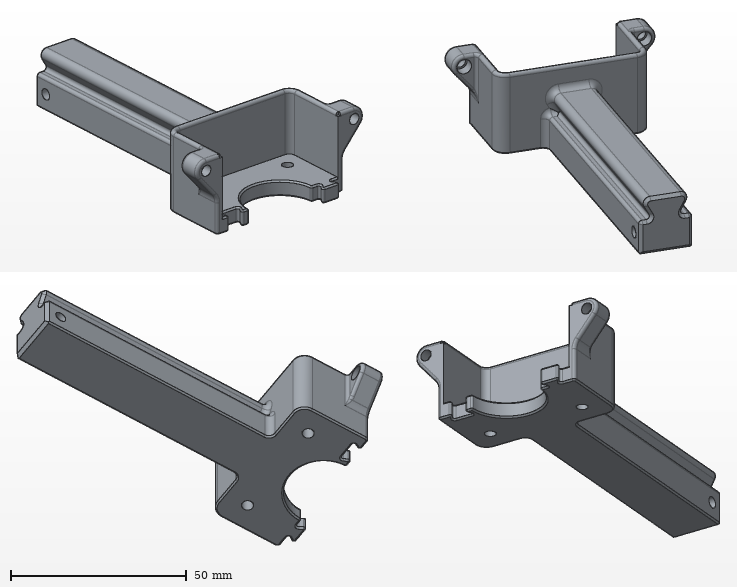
import cadquery as cq
import math

length = 103.0
overall_width = 61.5
height = 25.0
edge_break = 0.5
edge_round = 1.0

rail_half_width = 8.0
shoulder_height = 10.5
rail_height = 17.6
neck_half_width = 4.0
head_radius = 2 * edge_round
shoulder_radius = 1.0
flare_radius = 2 * edge_round
rail_hole_x = 4.8
rail_hole_height = 5.3

bracket_back = 76.6
bracket_front = 100.0
bracket_half_width = 23.3
floor_thickness = 4.9
wall_thickness = 2 * edge_round
corner_radius = 4 * edge_round
cradle_radius = 11.4
floor_hole_x = 84.4
floor_hole_y = 15.6
hole_diameter = 3.4

joint_depth = length - bracket_front
joint_y = 16.4
joint_corner = 0.6
tongue_root = 3.1
tongue_tip = 7.1
socket_mouth = 4.1
socket_base = 7.2

lug_back = 92.8
lug_radius = 3.5
lug_hole_y = overall_width / 2 - lug_radius
lug_hole_height = height - lug_radius
lug_foot_height = 11.5
lug_foot_radius = 4.1
counterbore_diameter = 4.4

pick = 0.01
pick_wide = 0.1


def box(x0, x1, y0, y1, z0, z1):
    return cq.Workplane("XY").box(x1 - x0, y1 - y0, z1 - z0, centered=False).translate((x0, y0, z0))


def mirrored(points):
    """Close a right-hand half outline by mirroring it about the middle of the part."""
    return points + [(-y, z) for y, z in reversed(points)]


def prism_along_x(points, x0, x1):
    return cq.Workplane("YZ", origin=(x0, 0, 0)).polyline(points).close().extrude(x1 - x0)


def round_long_edges(solid, y, z, radius):
    """Round the pair of X-parallel edges at (+-y, z)."""
    x_middle = solid.val().BoundingBox().center.x
    for side in (1, -1):
        solid = solid.edges(cq.selectors.NearestToPointSelector((x_middle, side * y, z))).fillet(radius)
    return solid


def rail_body():
    outline = mirrored([
        (rail_half_width, 0),
        (rail_half_width, shoulder_height),
        (neck_half_width, shoulder_height),
        (rail_half_width, rail_height),
    ])
    rail = prism_along_x(outline, 0, bracket_back + edge_break)
    rail = round_long_edges(rail, rail_half_width, rail_height, head_radius)
    rail = round_long_edges(rail, neck_half_width, shoulder_height, edge_round)
    rail = round_long_edges(rail, rail_half_width, shoulder_height, shoulder_radius)
    rail = rail.faces("<X").edges().chamfer(edge_round)
    return rail.faces("<Z").edges("|X").chamfer(edge_break)


def flare(profile, z0):
    """Blend a rail profile into a backing slab set into the bracket wall."""
    slab_half_width = rail_half_width + 2 * flare_radius
    slab = box(bracket_back, bracket_back + wall_thickness / 2, -slab_half_width, slab_half_width,
               z0, rail_height + 2 * flare_radius)
    joined = slab.union(profile)
    root = cq.selectors.BoxSelector(
        (bracket_back - pick, pick_wide - slab_half_width, z0 + pick),
        (bracket_back + pick, slab_half_width - pick_wide, rail_height + flare_radius))
    return joined.edges(root).fillet(flare_radius)


def rail_flares():
    flare_start = bracket_back - flare_radius - edge_break
    base = prism_along_x(
        mirrored([(rail_half_width, 0), (rail_half_width, shoulder_height)]), flare_start, bracket_back)
    base = round_long_edges(base, rail_half_width, shoulder_height, shoulder_radius)
    base = flare(base, 0)
    base = base.faces("<Z").edges("not (<X or >X)").chamfer(edge_break)

    head_bottom = shoulder_height / 2
    slope = (rail_half_width - neck_half_width) / (rail_height - shoulder_height)
    head_bottom_half_width = rail_half_width - slope * (rail_height - head_bottom)
    head = prism_along_x(
        mirrored([(head_bottom_half_width, head_bottom), (rail_half_width, rail_height)]),
        flare_start, bracket_back)
    head = round_long_edges(head, rail_half_width, rail_height, head_radius)
    return base.union(flare(head, edge_break))


def dovetail(y, x0, width0, x1, width1):
    outline = [(x0, y - width0 / 2), (x1, y - width1 / 2), (x1, y + width1 / 2), (x0, y + width0 / 2)]
    return cq.Workplane("XY").polyline(outline).close().extrude(floor_thickness)


def floor_plate():
    plate = box(bracket_back, bracket_front, -bracket_half_width, bracket_half_width, 0, floor_thickness)
    plate = plate.edges("|Z and <X").fillet(corner_radius)
    plate = plate.edges("|Z and >X").fillet(edge_round)
    cradle = cq.Workplane("XY").center(bracket_front, 0).circle(cradle_radius).extrude(floor_thickness)
    tongue = dovetail(joint_y, bracket_front, tongue_root, length, tongue_tip)
    socket = dovetail(-joint_y, bracket_front, socket_mouth, bracket_front - joint_depth, socket_base)
    plate = plate.cut(cradle).union(tongue).cut(socket)
    joint_edges = cq.selectors.BoxSelector(
        (bracket_front - joint_depth - pick_wide, -joint_y - socket_base / 2 - pick_wide, 0),
        (length + pick_wide, joint_y + tongue_tip / 2 + pick_wide, height))
    plate = plate.edges("|Z").edges(joint_edges).fillet(joint_corner)
    return plate.faces("<Z or >Z").chamfer(edge_break)


def walls():
    """U-shaped wall with a fully rounded rim."""
    rim_radius = wall_thickness / 2
    rim_height = height - rim_radius
    outer = box(bracket_back, bracket_front, -bracket_half_width, bracket_half_width, edge_break, rim_height)
    outer = outer.edges("|Z and <X").fillet(corner_radius)
    outer = outer.edges("|Z and >X").fillet(edge_round)
    inner_half_width = bracket_half_width - wall_thickness
    inner = box(bracket_back + wall_thickness, bracket_front, -inner_half_width, inner_half_width, 0, height)
    inner = inner.edges("|Z and <X").fillet(corner_radius - wall_thickness)

    rim_front = bracket_front - edge_round
    rim_back = bracket_back + rim_radius
    rim_y = bracket_half_width - rim_radius
    bend = corner_radius - rim_radius
    bend_offset = bend * (1 - math.sqrt(0.5))
    path = (
        cq.Workplane("XY", origin=(0, 0, rim_height))
        .moveTo(rim_front, -rim_y)
        .lineTo(rim_back + bend, -rim_y)
        .threePointArc((rim_back + bend_offset, bend_offset - rim_y), (rim_back, bend - rim_y))
        .lineTo(rim_back, rim_y - bend)
        .threePointArc((rim_back + bend_offset, rim_y - bend_offset), (rim_back + bend, rim_y))
        .lineTo(rim_front, rim_y)
    )
    rim = cq.Workplane("YZ", origin=(rim_front, -rim_y, rim_height)).circle(rim_radius).sweep(path)
    return outer.cut(inner).union(rim)


def lug_prism(x0, x1):
    """Round-ended lug outline with a sloped underside that curves into the wall."""
    foot_y = bracket_half_width
    dy = lug_hole_y - foot_y
    dz = lug_hole_height - lug_foot_height
    slope = math.atan2(dz, dy) - math.asin(lug_radius / math.hypot(dy, dz))
    tangent = (lug_hole_y + lug_radius * math.sin(slope), lug_hole_height - lug_radius * math.cos(slope))
    turn = (math.pi / 2 - slope) / 2
    reach = lug_foot_radius * math.tan(turn)
    foot_start = (foot_y, lug_foot_height - reach)
    foot_end = (foot_y + reach * math.cos(slope), lug_foot_height + reach * math.sin(slope))
    foot_middle = (foot_y + lug_foot_radius * (1 - math.cos(turn)),
                   foot_start[1] + lug_foot_radius * math.sin(turn))
    wall_middle = bracket_half_width - wall_thickness / 2
    return (
        cq.Workplane("YZ", origin=(x0, 0, 0))
        .moveTo(wall_middle, height)
        .lineTo(lug_hole_y, height)
        .threePointArc((lug_hole_y + lug_radius, lug_hole_height), tangent)
        .lineTo(*foot_end)
        .threePointArc(foot_middle, foot_start)
        .lineTo(wall_middle, foot_start[1])
        .close()
        .extrude(x1 - x0)
    )


def lug():
    body = lug_prism(lug_back, bracket_front)
    root_x = lug_back - edge_round
    root_y = bracket_half_width + edge_round
    root = box(root_x, lug_back, bracket_half_width - wall_thickness / 2, root_y, 0, height)
    root = root.cut(cq.Workplane("XY").center(root_x, root_y).circle(edge_round).extrude(height))
    body = body.union(root.intersect(lug_prism(root_x, lug_back)))
    for x in (lug_back, bracket_front):
        top_edge = cq.selectors.NearestToPointSelector((x, (root_y + lug_hole_y) / 2, height))
        body = body.edges(top_edge).fillet(edge_round)
    hole_plane = cq.Workplane("YZ", origin=(lug_back, lug_hole_y, lug_hole_height))
    lug_thickness = bracket_front - lug_back
    hole = hole_plane.circle(hole_diameter / 2).extrude(lug_thickness)
    counterbore = hole_plane.circle(counterbore_diameter / 2).extrude(lug_thickness / 2)
    return body.cut(hole).cut(counterbore)


floor_holes = (
    cq.Workplane("XY")
    .pushPoints([(floor_hole_x, floor_hole_y), (floor_hole_x, -floor_hole_y)])
    .circle(hole_diameter / 2)
    .extrude(floor_thickness)
)
rail_hole = (
    cq.Workplane("XZ")
    .center(rail_hole_x, rail_hole_height)
    .circle(hole_diameter / 2)
    .extrude(rail_half_width, both=True)
)

side_lug = lug()
bracket = floor_plate().cut(floor_holes).union(walls())
bracket = bracket.union(side_lug).union(side_lug.mirror("XZ"))
result = bracket.union(rail_flares()).union(rail_body().cut(rail_hole))